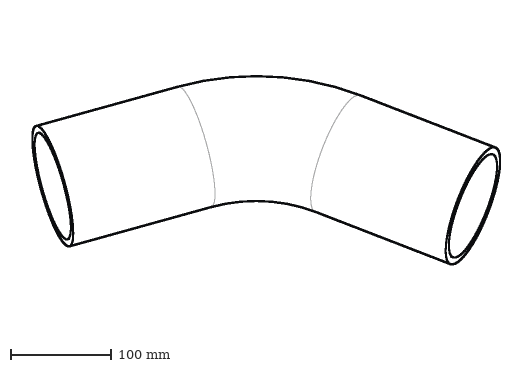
import cadquery as cq
import math

overall_length = 433.0
outer_diameter = 125.0
wall = 7.5
bend_angle = 45.0
bend_radius = 1.5 * outer_diameter

outer_radius = outer_diameter / 2
inner_radius = outer_radius - wall
bend_sin = math.sin(math.radians(bend_angle))
bend_cos = math.cos(math.radians(bend_angle))

bend_length = (bend_radius + outer_radius) * bend_sin
leg_length = (overall_length - bend_length) / (1 + bend_cos)


def pipe_section(plane):
    """Ring-shaped cross-section of the pipe."""
    return cq.Workplane(plane).circle(outer_radius).circle(inner_radius)


inlet_plane = cq.Plane(origin=(0, -leg_length, 0), xDir=(1, 0, 0), normal=(0, 1, 0))
bend_plane = cq.Plane(origin=(0, 0, 0), xDir=(1, 0, 0), normal=(0, 1, 0))
inlet_leg = pipe_section(inlet_plane).extrude(leg_length)

bend = pipe_section(bend_plane).revolve(bend_angle, (bend_radius, 0), (bend_radius, 1))

outlet_plane = cq.Plane(
    origin=(bend_radius * (1 - bend_cos), bend_radius * bend_sin, 0),
    xDir=(bend_cos, -bend_sin, 0),
    normal=(bend_sin, bend_cos, 0),
)
outlet_leg = pipe_section(outlet_plane).extrude(leg_length)

result = inlet_leg.union(bend).union(outlet_leg)